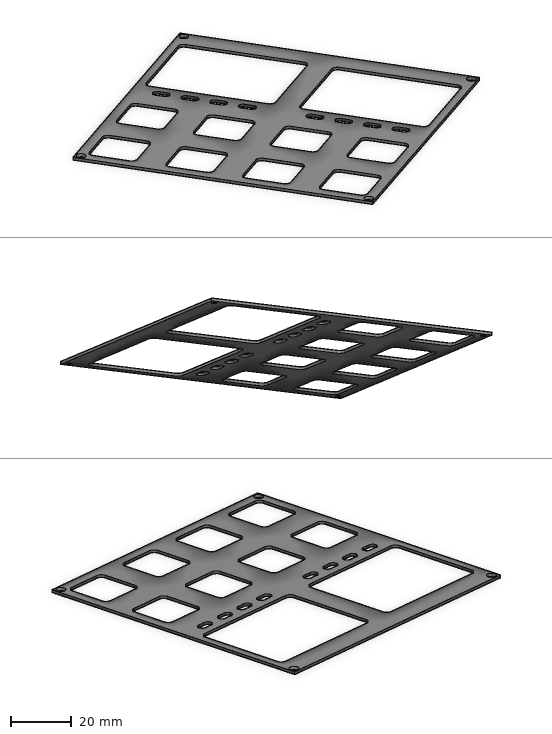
import cadquery as cq

plate_side = 104.35
plate_thickness = 1.0

grid_pitch = 26.75
columns = 4
corner_radius = 2.0

window_width = 45.0
window_height = 34.9
window_x = grid_pitch
window_y = grid_pitch

square_side = 16.7
square_rows_y = (-grid_pitch / 2, -3 * grid_pitch / 2)

slot_length = 6.0
slot_width = 3.0
slot_pitch = 10.0
slots_per_window = 4
slot_y = 4.8

hole_diameter = 1.75
countersink_diameter = 3.25
countersink_angle = 90.0
hole_inset = 2.075


def centred_positions(count, pitch, centre=0.0):
    """Evenly spaced coordinates, symmetric about the centre."""
    return [centre + (i - (count - 1) / 2) * pitch for i in range(count)]


def rounded_cutter(width, height, centres):
    """Rounded rectangular prisms through the plate at every centre."""
    return (
        cq.Workplane("XY")
        .pushPoints(centres)
        .rect(width, height)
        .extrude(plate_thickness)
        .edges("|Z")
        .fillet(corner_radius)
    )


def window_cutter():
    centres = [(-window_x, window_y), (window_x, window_y)]
    return rounded_cutter(window_width, window_height, centres)


def square_cutter():
    columns_x = centred_positions(columns, grid_pitch)
    centres = [(x, y) for x in columns_x for y in square_rows_y]
    return rounded_cutter(square_side, square_side, centres)


def slot_cutter():
    centres = [
        (x, slot_y)
        for group_x in (-window_x, window_x)
        for x in centred_positions(slots_per_window, slot_pitch, group_x)
    ]
    return (
        cq.Workplane("XY")
        .pushPoints(centres)
        .slot2D(slot_length, slot_width)
        .extrude(plate_thickness)
    )


def drill_corner_holes(plate):
    hole_spacing = plate_side - 2 * hole_inset
    return (
        plate.faces(">Z")
        .workplane(origin=(0, 0, plate_thickness))
        .rect(hole_spacing, hole_spacing, forConstruction=True)
        .vertices()
        .cskHole(hole_diameter, countersink_diameter, countersink_angle)
    )


plate = cq.Workplane("XY").box(
    plate_side, plate_side, plate_thickness, centered=(True, True, False)
)
plate = drill_corner_holes(plate)
result = plate.cut(window_cutter()).cut(square_cutter()).cut(slot_cutter())